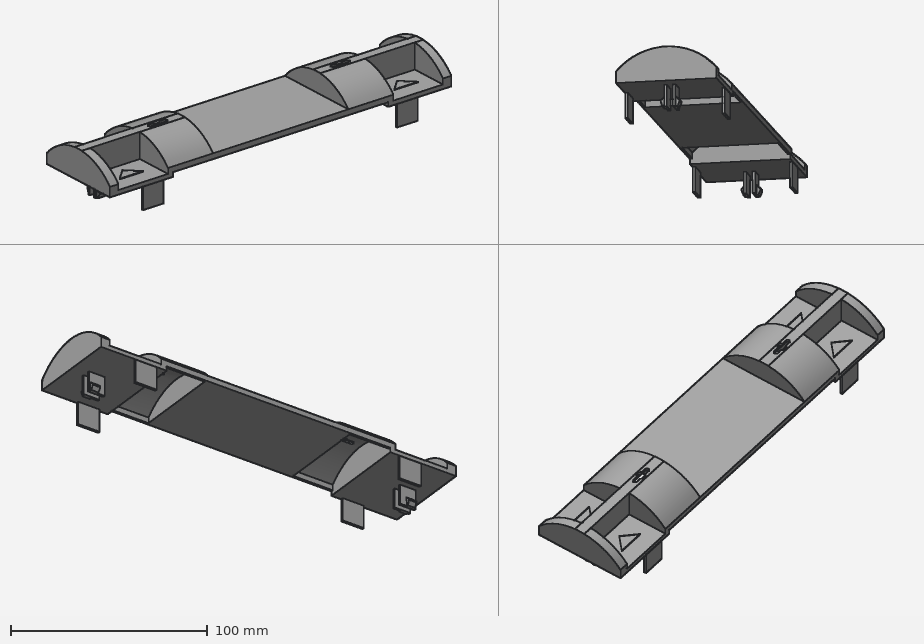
import cadquery as cq
length = 220.5
width = 52.3
body_height = 17.9

shoulder_height = 6.0
foot_height = 2.6
foot_length = 40.8
dome_length = 66.5

skin = 1.3

end_wall = 5.5
pocket_end = 37.5
spine_width = 6.0

arrow_base_x = 16.3
arrow_tip_x = 8.8
arrow_half_base = 7.7
arrow_from_end = 21.5
arrow_height = 0.5

slot_width = 2.2
slot_length = 12.1
slot_from_end = 51.4
countersink_radius = 2.5
countersink_floor_radius = 1.8
countersink_depth = 0.9

tab_thickness = 1.3
tab_inset = 0.2
tab_start = 21.5
tab_width = 13.2
tab_drop = 13.2

hook_gap = 3.3
hook_thickness = 1.3
hook_start = 8.8
hook_width = 9.7
hook_drop = 11.2
catch_reach = 2.0
catch_top_drop = 6.2
catch_crest_drop = 8.0
catch_crest_height = 0.7
catch_toe = 0.9
catch_inset = 0.9
catch_top_width = 5.0
catch_bottom_width = 4.5

half_width = width / 2
half_length = length / 2
overlap = 1.0


def box(x_min, x_max, y_min, y_max, z_min, z_max):
    """Axis-aligned box given by its limits."""
    size = (x_max - x_min, y_max - y_min, z_max - z_min)
    return cq.Workplane("XY").box(*size, centered=False).translate((x_min, y_min, z_min))


def both_sides(solid):
    """The solid together with its mirror image in X."""
    return solid.union(solid.mirror("YZ"))


def arched_block(half_span, bottom, crown, y_start, y_end):
    """Straight-sided block with an arched top; the distances y are from the end of the part."""
    return (
        cq.Workplane("XZ", origin=(0, y_start - half_length, 0))
        .moveTo(-half_span, bottom)
        .lineTo(-half_span, shoulder_height)
        .threePointArc((0, crown), (half_span, shoulder_height))
        .lineTo(half_span, bottom)
        .close()
        .extrude(y_start - y_end)
    )


def dome_cavity():
    """Hollow that leaves a thin skin over the inner part of the dome."""
    return arched_block(
        half_width - skin, -overlap, body_height - skin, foot_length, dome_length - skin,
    )


def side_pocket():
    """Open-sided pocket between the spine and the outer side."""
    return box(
        spine_width / 2, half_width + overlap,
        end_wall - half_length, pocket_end - half_length,
        foot_height, body_height + overlap,
    )


def spine():
    """Flat-topped rib along the crown of the dome."""
    return box(
        -spine_width / 2, spine_width / 2,
        -half_length, dome_length - half_length,
        foot_height, body_height,
    )


def arrow():
    """Raised triangle pointing at the spine."""
    y = arrow_from_end - half_length
    return (
        cq.Workplane("XY", origin=(0, 0, foot_height))
        .polyline([
            (arrow_base_x, y - arrow_half_base),
            (arrow_base_x, y + arrow_half_base),
            (arrow_tip_x, y),
        ])
        .close()
        .extrude(arrow_height)
    )


def spine_slot():
    """Round-ended through slot with a conical recess at its middle."""
    y = slot_from_end - half_length
    slot = (
        cq.Workplane("XY", origin=(0, y, -overlap))
        .slot2D(slot_length, slot_width, angle=90)
        .extrude(body_height + 2 * overlap)
    )
    cone = cq.Solid.makeCone(
        countersink_radius, countersink_floor_radius, countersink_depth,
        pnt=cq.Vector(0, y, body_height), dir=cq.Vector(0, 0, -1),
    )
    return slot.union(cq.Workplane(cone))


def side_tab():
    """Thin tab hanging just inside the outer side."""
    x = half_width - tab_inset
    y = tab_start - half_length
    return box(x - tab_thickness, x, y, y + tab_width, -tab_drop, overlap)


def snap_hook():
    """Hanging stem with an outward catch near the end of the part."""
    stem_inner = hook_gap / 2
    stem_outer = stem_inner + hook_thickness
    y = hook_start - half_length
    stem = box(stem_inner, stem_outer, y, y + hook_width, -hook_drop, overlap)

    crest_bottom = catch_crest_drop + catch_crest_height
    section = (
        cq.Workplane("XZ", origin=(0, y, 0))
        .polyline([
            (stem_inner, -catch_top_drop),
            (stem_outer, -catch_top_drop),
            (stem_outer + catch_reach, -catch_crest_drop),
            (stem_outer + catch_reach, -crest_bottom),
            (stem_outer + catch_toe, -hook_drop),
            (stem_inner, -hook_drop),
        ])
        .close()
        .extrude(-hook_width)
    )
    catch_start = y + catch_inset
    side_outline = (
        cq.Workplane("YZ")
        .polyline([
            (catch_start, -catch_top_drop),
            (catch_start + catch_top_width, -catch_top_drop),
            (catch_start + catch_bottom_width, -hook_drop),
            (catch_start, -hook_drop),
        ])
        .close()
        .extrude(half_width)
    )
    return stem.union(section.intersect(side_outline))


def end_unit():
    """End block with its pockets, arrows, tabs and hooks, before it is hollowed and slotted."""
    under_dome = box(
        -half_width - overlap, half_width + overlap,
        foot_length - half_length, dome_length - half_length + overlap,
        -overlap, foot_height,
    )
    block = arched_block(half_width, 0, body_height, 0, dome_length)
    block = block.cut(under_dome).cut(both_sides(side_pocket())).union(spine())
    for feature in (arrow(), side_tab(), snap_hook()):
        block = block.union(both_sides(feature))
    return block


bridge_end = half_length - dome_length
bridge = box(
    -half_width, half_width,
    -bridge_end - overlap, bridge_end + overlap,
    foot_height, shoulder_height,
)
near_end = end_unit()
result = bridge.union(near_end).union(near_end.mirror("XZ"))

openings = dome_cavity().union(spine_slot())
result = result.cut(openings).cut(openings.mirror("XZ"))